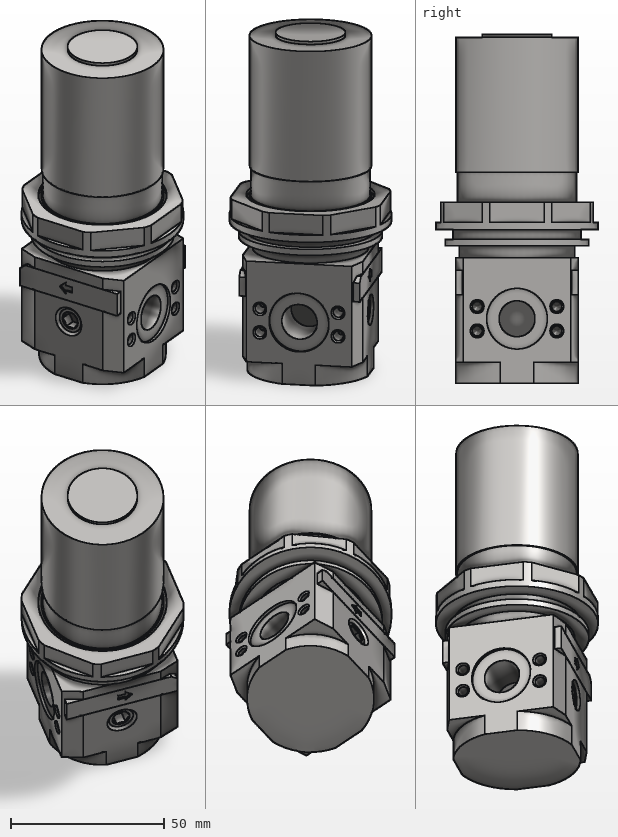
import cadquery as cq
import math

BLOCK_WIDTH = 40.0
BLOCK_TOP = 41.0
CORNER_X = 13.3
CORNER_Y = 17.5
FOOT_HEIGHT = 7.0
FOOT_RADIUS = 20.7

NECK_RADIUS = 18.9
COLLAR_BOTTOM = 44.9
COLLAR_RADIUS = 23.5
SPIGOT_BOTTOM = 47.0
SPIGOT_RADIUS = 21.0
SPIGOT_TOP = 58.8
SPIGOT_CHAMFER = 0.9

PLATE_BOTTOM = 28.8
PLATE_TOP = 36.9
PLATE_HALF_LENGTH = 19.0
PLATE_THICKNESS = 3.4
PLATE_STANDOFF = 0.06
PLATE_BEVEL_LENGTH = 2.0
PLATE_BEVEL_HEIGHT = 1.7
ARROW_Z = 33.2
ARROW_TIP_X = -3.4
ARROW_HEAD_LENGTH = 2.3
ARROW_HEAD_HALF_HEIGHT = 2.0
ARROW_TAIL_X = 1.4
ARROW_TAIL_HALF_HEIGHT = 1.0
ARROW_DEPTH = 0.7

PORT_Z = 21.1
PORT_RECESS_DIAMETER = 19.8
PORT_RECESS_DEPTH = 1.0
PORT_DIAMETER = 11.7
PORT_DEPTH = 17.1
MOUNT_SPACING_Y = 26.0
MOUNT_SPACING_Z = 8.0
MOUNT_DIAMETER = 3.3
MOUNT_DEPTH = 8.0
MOUNT_RIM_DIAMETER = 4.5
DRILL_POINT_ANGLE = 118.0

SOCKET_RIM_DIAMETER = 10.1
SOCKET_SEAT_DIAMETER = 8.3
HEX_ACROSS_FLATS = 5.2
HEX_DEPTH = 4.0

NUT_BOTTOM = 50.2
NUT_FLANGE_TOP = 52.5
NUT_TOP = 59.2
NUT_DIAMETER = 53.0
NUT_ACROSS_FLATS = 49.9
NUT_SIDES = 8

KNOB_NECK_RADIUS = 19.5
KNOB_BOTTOM = 68.9
KNOB_RADIUS = 20.0
KNOB_TOP = 113.0
CAP_RADIUS = 11.4
CAP_TOP = 114.0

HALF_WIDTH = BLOCK_WIDTH / 2
PLATE_FACE = HALF_WIDTH + PLATE_STANDOFF


def disc(radius, bottom, top):
    """Upright cylinder on the main axis."""
    return cq.Workplane("XY").workplane(offset=bottom).circle(radius).extrude(top - bottom)


def cone(start_diameter, end_diameter, length):
    """Cone along Z from Z = 0; an end diameter of zero gives a point."""
    return cq.Workplane(obj=cq.Solid.makeCone(start_diameter / 2, end_diameter / 2, length))


def rim_cone(rim_diameter, seat_diameter):
    """45 degree countersink that narrows from the rim to the seat."""
    return cone(rim_diameter, seat_diameter, (rim_diameter - seat_diameter) / 2)


def make_block():
    """Block with chamfered upright edges, standing on a round foot with four flats."""
    right_side = [
        (CORNER_X, -HALF_WIDTH),
        (HALF_WIDTH, -CORNER_Y),
        (HALF_WIDTH, CORNER_Y),
        (CORNER_X, HALF_WIDTH),
    ]
    left_side = [(-x, y) for x, y in reversed(right_side)]
    block = (
        cq.Workplane("XY").workplane(offset=FOOT_HEIGHT)
        .polyline(right_side + left_side).close()
        .extrude(BLOCK_TOP - FOOT_HEIGHT)
    )
    flats = cq.Workplane("XY").rect(BLOCK_WIDTH, BLOCK_WIDTH).extrude(FOOT_HEIGHT)
    return block.union(disc(FOOT_RADIUS, 0, FOOT_HEIGHT).intersect(flats))


def make_turned_top():
    """Neck, collar and the chamfered spigot that carries the nut."""
    neck = disc(NECK_RADIUS, BLOCK_TOP, COLLAR_BOTTOM)
    collar = disc(COLLAR_RADIUS, COLLAR_BOTTOM, SPIGOT_BOTTOM)
    spigot = disc(SPIGOT_RADIUS, SPIGOT_BOTTOM, SPIGOT_TOP).faces(">Z").chamfer(SPIGOT_CHAMFER)
    return neck.union(collar).union(spigot)


def make_front_plate():
    """Plate that barely rises from the front face, with one bevelled corner and a sunk arrow."""
    return (
        cq.Workplane("XZ", origin=(0, -PLATE_FACE, 0))
        .moveTo(PLATE_HALF_LENGTH, PLATE_BOTTOM)
        .lineTo(PLATE_HALF_LENGTH, PLATE_TOP)
        .lineTo(-PLATE_HALF_LENGTH + PLATE_BEVEL_LENGTH, PLATE_TOP)
        .lineTo(-PLATE_HALF_LENGTH, PLATE_TOP - PLATE_BEVEL_HEIGHT)
        .lineTo(-PLATE_HALF_LENGTH, PLATE_BOTTOM)
        .close()
        .extrude(-PLATE_THICKNESS)
    )


def make_arrow():
    """Cutter for the arrow in the front plate, pointing to -X."""
    head_back_x = ARROW_TIP_X + ARROW_HEAD_LENGTH
    upper_half = [
        (ARROW_TIP_X, 0),
        (head_back_x, ARROW_HEAD_HALF_HEIGHT),
        (head_back_x, ARROW_TAIL_HALF_HEIGHT),
        (ARROW_TAIL_X, ARROW_TAIL_HALF_HEIGHT),
    ]
    lower_half = [(x, -z) for x, z in reversed(upper_half[1:])]
    return (
        cq.Workplane("XZ", origin=(0, -PLATE_FACE, ARROW_Z))
        .polyline(upper_half + lower_half).close()
        .extrude(-ARROW_DEPTH)
    )


def make_left_port():
    """Cutter for the recessed port and its four mounting holes in the -X face."""
    face = cq.Workplane("YZ", origin=(-HALF_WIDTH, 0, PORT_Z))
    recess = face.circle(PORT_RECESS_DIAMETER / 2).extrude(PORT_RECESS_DEPTH)
    bore = face.circle(PORT_DIAMETER / 2).extrude(PORT_DEPTH)
    point_length = MOUNT_DIAMETER / 2 / math.tan(math.radians(DRILL_POINT_ANGLE / 2))
    hole = (
        cq.Workplane("XY").circle(MOUNT_DIAMETER / 2).extrude(MOUNT_DEPTH)
        .union(cone(MOUNT_DIAMETER, 0, point_length).translate((0, 0, MOUNT_DEPTH)))
        .union(rim_cone(MOUNT_RIM_DIAMETER, MOUNT_DIAMETER))
        .rotate((0, 0, 0), (0, 1, 0), 90)
    )
    cutter = recess.union(bore)
    for side_y in (-1, 1):
        for side_z in (-1, 1):
            hole_y = side_y * MOUNT_SPACING_Y / 2
            hole_z = PORT_Z + side_z * MOUNT_SPACING_Z / 2
            cutter = cutter.union(hole.translate((-HALF_WIDTH, hole_y, hole_z)))
    return cutter


def make_front_socket():
    """Cutter for the countersunk hexagon socket in the front face."""
    seat_depth = (SOCKET_RIM_DIAMETER - SOCKET_SEAT_DIAMETER) / 2
    across_corners = HEX_ACROSS_FLATS / math.cos(math.pi / 6)
    hexagon = cq.Workplane("XY").polygon(6, across_corners).extrude(HEX_DEPTH)
    lead_in = rim_cone(across_corners, HEX_ACROSS_FLATS)
    return (
        hexagon.union(lead_in)
        .translate((0, 0, seat_depth))
        .union(rim_cone(SOCKET_RIM_DIAMETER, SOCKET_SEAT_DIAMETER))
        .rotate((0, 0, 0), (1, 0, 0), -90)
        .translate((0, -HALF_WIDTH, PORT_Z))
    )


def make_housing():
    """Block and turned top in one piece, alike on opposite sides."""
    housing = make_block().union(make_turned_top())
    plate = make_front_plate()
    arrow = make_arrow()
    socket = make_front_socket()
    port = make_left_port()
    housing = housing.union(plate).union(plate.mirror("XZ"))
    for cutter in (arrow, socket):
        housing = housing.cut(cutter).cut(cutter.mirror("XZ"))
    return housing.cut(port).cut(port.mirror("YZ"))


def make_nut():
    """Octagonal nut with a round flange, bored to fit the spigot."""
    across_corners = NUT_ACROSS_FLATS / math.cos(math.pi / NUT_SIDES)
    octagon = (
        cq.Workplane("XY").workplane(offset=NUT_FLANGE_TOP)
        .polygon(NUT_SIDES, across_corners)
        .extrude(NUT_TOP - NUT_FLANGE_TOP)
        .rotate((0, 0, 0), (0, 0, 1), 180 / NUT_SIDES)
    )
    wrench_part = octagon.intersect(disc(NUT_DIAMETER / 2, NUT_FLANGE_TOP, NUT_TOP))
    flange = disc(NUT_DIAMETER / 2, NUT_BOTTOM, NUT_FLANGE_TOP)
    return flange.union(wrench_part).cut(disc(SPIGOT_RADIUS, NUT_BOTTOM, NUT_TOP))


def make_knob():
    """Knob standing on the spigot, with a narrower neck below and a raised cap on top."""
    neck = disc(KNOB_NECK_RADIUS, SPIGOT_TOP, KNOB_BOTTOM)
    grip = disc(KNOB_RADIUS, KNOB_BOTTOM, KNOB_TOP)
    cap = disc(CAP_RADIUS, KNOB_TOP, CAP_TOP)
    return neck.union(grip).union(cap)


housing = make_housing()
nut = make_nut()
knob = make_knob()

result = cq.Compound.makeCompound([housing.val(), nut.val(), knob.val()])